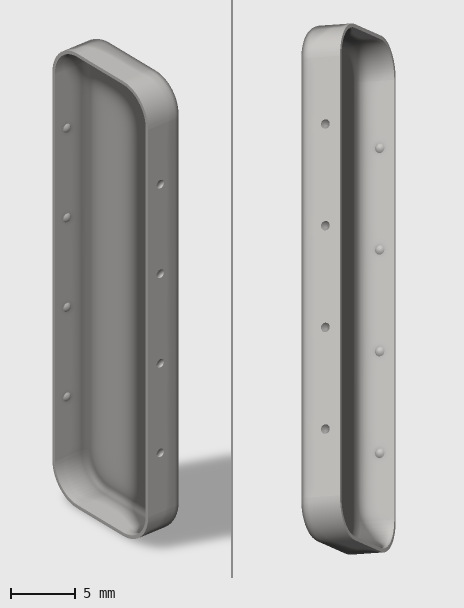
import cadquery as cq

width = 11.6
depth = 3.5
height = 40.6

wall = 0.3
corner_radius = 3.0
back_radius = 0.8

dimple_radius = 0.35
bump_radius = 0.5
detent_pitch = 8.0
detent_count = 4
detent_from_rim = 1.2


def rounded_block(inset):
    """Block with rounded corners and back edge, shrunk by inset; its front stays at the rim plane."""
    block = (
        cq.Workplane("XZ")
        .rect(width - 2 * inset, height - 2 * inset)
        .extrude(-(depth - inset))
    )
    block = block.edges("|Y").fillet(corner_radius - inset)
    return block.faces(">Y").edges().fillet(back_radius - inset)


def detent_domes(radius):
    """Half balls that swell inward from the outer faces of both long side walls."""
    quarter_disc = (
        cq.Workplane("XY")
        .lineTo(radius, 0)
        .radiusArc((0, radius), -radius)
        .close()
    )
    dome = quarter_disc.revolve(360, (0, 0, 0), (1, 0, 0))
    first_height = -detent_pitch * (detent_count - 1) / 2
    centers = [
        (-width / 2, detent_from_rim, first_height + index * detent_pitch)
        for index in range(detent_count)
    ]
    left_domes = cq.Workplane("XY").pushPoints(centers).eachpoint(dome.val())
    return left_domes.add(left_domes.mirror("YZ"))


result = rounded_block(0).cut(rounded_block(wall))

for bump in detent_domes(bump_radius).vals():
    result = result.union(cq.Workplane(bump))
for dimple in detent_domes(dimple_radius).vals():
    result = result.cut(cq.Workplane(dimple))